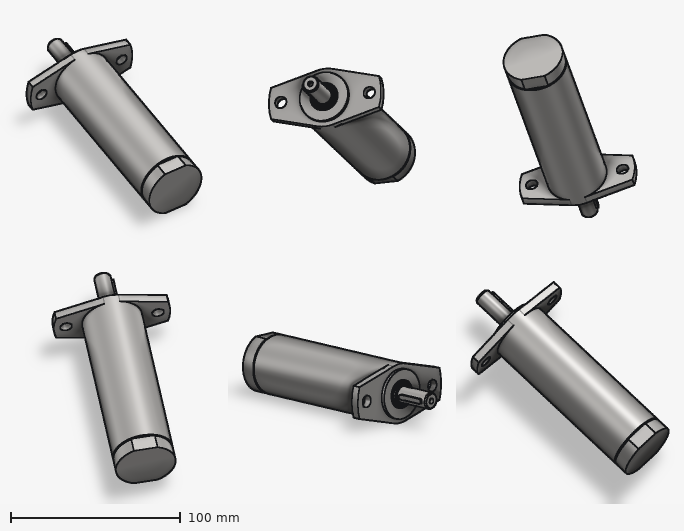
import cadquery as cq
import math

total_length = 138.5
body_diameter = 36

collar_start = 23.5
collar_step = 24.0
pilot_start = 24.4
flange_start = 26.5
body_end = 129.6

shaft_diameter = 10.0
shaft_tip_diameter = 8.6
shaft_chamfer_length = 1.0
center_hole_diameter = 3.2
center_hole_depth = 2.8
drill_point_angle = 118

key_start = 3.0
key_length = 18
key_width = 3.0
key_height = 3.0
key_top = 6.1

pilot_diameter = 30.0
recess_diameter = 17.0
recess_step_diameter = 15.5
recess_depth = 0.5
recess_floor = pilot_start + 1.1
lip_start = pilot_start + 0.3
lip_diameter = 14.4
funnel_diameter = 13.8
collar_base_diameter = 11.9
collar_tip_diameter = 11.5

flange_thickness = 5.0
flange_width = 70.0
flange_end_half_height = 9.7
mount_hole_diameter = 7.0
mount_hole_spacing = 55.1

cap_flat_spacing = 33.1
rim_chamfer = 0.4


def cylinder(start, end, diameter):
    """Round bar along the motor axis."""
    return cq.Workplane("YZ", origin=(start, 0, 0)).circle(diameter / 2).extrude(end - start)


def make_flange():
    """Lozenge plate: edges run from the round ends tangent to the body circle."""
    body_radius = body_diameter / 2
    end_radius = flange_width / 2
    corner_angle = math.asin(flange_end_half_height / end_radius)
    tangent_angle = corner_angle + math.acos(body_radius / end_radius)
    corner_y = end_radius * math.cos(corner_angle)
    corner_z = flange_end_half_height
    tangent_y = body_radius * math.cos(tangent_angle)
    tangent_z = body_radius * math.sin(tangent_angle)
    return (
        cq.Workplane("YZ", origin=(flange_start, 0, 0))
        .moveTo(corner_y, -corner_z)
        .threePointArc((end_radius, 0), (corner_y, corner_z))
        .lineTo(tangent_y, tangent_z)
        .threePointArc((0, body_radius), (-tangent_y, tangent_z))
        .lineTo(-corner_y, corner_z)
        .threePointArc((-end_radius, 0), (-corner_y, -corner_z))
        .lineTo(-tangent_y, -tangent_z)
        .threePointArc((0, -body_radius), (tangent_y, -tangent_z))
        .close()
        .pushPoints([(-mount_hole_spacing / 2, 0), (mount_hole_spacing / 2, 0)])
        .circle(mount_hole_diameter / 2)
        .extrude(flange_thickness)
    )


def make_pilot():
    """Pilot boss with a stepped recess that holds the funnel-shaped seal lip."""
    recess = cylinder(pilot_start, pilot_start + recess_depth, recess_diameter)
    step = cylinder(pilot_start, recess_floor, recess_step_diameter)
    lip = cylinder(lip_start, recess_floor, lip_diameter)
    funnel = (
        cq.Workplane("YZ", origin=(lip_start, 0, 0))
        .circle(funnel_diameter / 2)
        .workplane(offset=recess_floor - lip_start)
        .circle(collar_base_diameter / 2)
        .loft()
    )
    pilot = cylinder(pilot_start, flange_start, pilot_diameter)
    return pilot.cut(recess).cut(step).union(lip.cut(funnel))


def make_shaft():
    """Shaft with a chamfered tip and a stepped collar where it leaves the pilot."""
    chamfer_depth = (shaft_diameter - shaft_tip_diameter) / 2
    shaft = cylinder(0, flange_start, shaft_diameter)
    shaft = shaft.faces("<X").chamfer(shaft_chamfer_length, chamfer_depth)
    collar_tip = cylinder(collar_start, flange_start, collar_tip_diameter)
    collar_base = cylinder(collar_step, flange_start, collar_base_diameter)
    return shaft.union(collar_tip).union(collar_base)


def make_center_hole():
    """Blind hole with a drill point in the shaft tip."""
    radius = center_hole_diameter / 2
    point_length = radius / math.tan(math.radians(drill_point_angle / 2))
    return (
        cq.Workplane("XY")
        .lineTo(0, radius)
        .lineTo(center_hole_depth, radius)
        .lineTo(center_hole_depth + point_length, 0)
        .close()
        .revolve(360, (0, 0, 0), (1, 0, 0))
    )


def make_key():
    """Round-ended parallel key partly sunk in the shaft."""
    key_center = key_start + key_length / 2
    return (
        cq.Workplane("XZ", origin=(key_center, key_top, 0))
        .slot2D(key_length, key_width)
        .extrude(key_height)
    )


def make_cap():
    """Rear cap with wrench flats on top and bottom."""
    flats = cq.Workplane("XY").box(2 * total_length, body_diameter, cap_flat_spacing)
    cap = cylinder(body_end, total_length, body_diameter).faces("<X").chamfer(rim_chamfer)
    return cap.intersect(flats)


body = cylinder(flange_start, body_end, body_diameter).faces(">X").chamfer(rim_chamfer)
result = (
    body.union(make_flange())
    .union(make_pilot())
    .union(make_shaft())
    .union(make_key())
    .union(make_cap())
    .cut(make_center_hole())
)